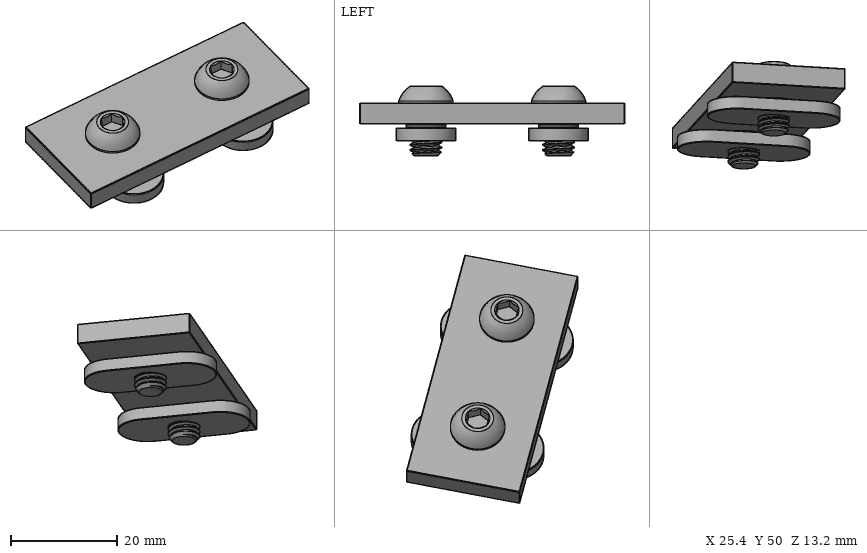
import cadquery as cq
import math

PLATE_WIDTH = 21.9
PLATE_LENGTH = 50
PLATE_THICKNESS = 4
EDGE_BREAK = 0.15

SCREW_SPACING = 25
SCREW_CENTRES = [(0, -SCREW_SPACING / 2), (0, SCREW_SPACING / 2)]

SHANK_DIAMETER = 6
SHANK_LENGTH = 10
HEAD_DIAMETER = 10.3
HEAD_TOP_DIAMETER = 6
HEAD_HEIGHT = 3.15
HEAD_RIM_HEIGHT = 0.4
SOCKET_FLATS = 4
SOCKET_DEPTH = 2.2
SOCKET_MOUTH_CHAMFER = 0.35
SOCKET_CORNERS = SOCKET_FLATS / math.cos(math.pi / 6)
TIP_CHAMFER = 0.8

PITCH = 1
THREAD_DEPTH = 5 / 8 * math.sqrt(3) / 2 * PITCH
GROOVE_ROOT_WIDTH = PITCH / 4
FLANK_SLOPE = math.tan(math.pi / 6)
GROOVE_OVERSHOOT = 0.05
GROOVE_START_BELOW_TIP = 0.65
THREADED_LENGTH = 6

NUT_LENGTH = 25.4
NUT_WIDTH = 11.25
NUT_THICKNESS = 2.5
NECK_DIAMETER = 7.5
NECK_HEIGHT = 0.7

TIP_Z = PLATE_THICKNESS - SHANK_LENGTH
HEAD_TOP_Z = PLATE_THICKNESS + HEAD_HEIGHT


def make_plate():
    """Chamfered bar with a close-fitting hole for each screw shank."""
    bar = cq.Workplane("XY").box(PLATE_WIDTH, PLATE_LENGTH, PLATE_THICKNESS, centered=(True, True, False))
    bar = bar.edges().chamfer(EDGE_BREAK)
    holes = cq.Workplane("XY").pushPoints(SCREW_CENTRES).circle(SHANK_DIAMETER / 2).extrude(PLATE_THICKNESS)
    return bar.cut(holes)


def make_screw_blank():
    """Turned head and shank; the dome is part of a sphere centred on the screw axis."""
    rim_radius = HEAD_DIAMETER / 2
    top_radius = HEAD_TOP_DIAMETER / 2
    shank_radius = SHANK_DIAMETER / 2
    rim_z = PLATE_THICKNESS + HEAD_RIM_HEIGHT
    dome_rise = HEAD_TOP_Z - rim_z
    centre_below_rim = (rim_radius**2 - top_radius**2 - dome_rise**2) / (2 * dome_rise)
    sphere_radius = math.hypot(rim_radius, centre_below_rim)
    middle_z = rim_z + dome_rise / 2
    middle_radius = math.sqrt(sphere_radius**2 - (centre_below_rim + dome_rise / 2) ** 2)
    profile = (
        cq.Workplane("YZ")
        .moveTo(0, TIP_Z)
        .lineTo(-shank_radius + TIP_CHAMFER, TIP_Z)
        .lineTo(-shank_radius, TIP_Z + TIP_CHAMFER)
        .lineTo(-shank_radius, PLATE_THICKNESS)
        .lineTo(-rim_radius, PLATE_THICKNESS)
        .lineTo(-rim_radius, rim_z)
        .threePointArc((-middle_radius, middle_z), (-top_radius, HEAD_TOP_Z))
        .lineTo(0, HEAD_TOP_Z)
        .close()
    )
    return profile.revolve(360, (0, 0), (0, 1))


def make_socket():
    """Hexagonal recess, corners toward +Y and -Y, with a conical mouth as wide as the corners."""
    hexagon = (
        cq.Workplane("XY", origin=(0, 0, HEAD_TOP_Z))
        .polygon(6, SOCKET_CORNERS)
        .extrude(-SOCKET_DEPTH)
        .rotate((0, 0, 0), (0, 0, 1), 30)
    )
    mouth = cq.Workplane(
        cq.Solid.makeCone(
            SOCKET_CORNERS / 2,
            SOCKET_CORNERS / 2 - SOCKET_MOUTH_CHAMFER,
            SOCKET_MOUTH_CHAMFER,
            pnt=cq.Vector(0, 0, HEAD_TOP_Z),
            dir=cq.Vector(0, 0, -1),
        )
    )
    return hexagon.union(mouth)


def make_thread_groove():
    """Helical groove that starts below the tip and winds up the shank."""
    start_z = TIP_Z - GROOVE_START_BELOW_TIP
    root_radius = SHANK_DIAMETER / 2 - THREAD_DEPTH
    outer_radius = SHANK_DIAMETER / 2 + GROOVE_OVERSHOOT
    root_half_width = GROOVE_ROOT_WIDTH / 2
    outer_half_width = root_half_width + (outer_radius - root_radius) * FLANK_SLOPE
    helix = cq.Wire.makeHelix(PITCH, THREADED_LENGTH, root_radius, center=cq.Vector(0, 0, start_z))
    profile = (
        cq.Workplane("XZ")
        .moveTo(root_radius, start_z - root_half_width)
        .lineTo(outer_radius, start_z - outer_half_width)
        .lineTo(outer_radius, start_z + outer_half_width)
        .lineTo(root_radius, start_z + root_half_width)
        .close()
    )
    return profile.sweep(cq.Workplane(helix), isFrenet=True)


def make_screw():
    return make_screw_blank().cut(make_socket()).cut(make_thread_groove())


def make_nut():
    """Round-ended bar below a neck that is chamfered at both ends, bored to the shank diameter."""
    bar = (
        cq.Workplane("XY", origin=(0, 0, -NECK_HEIGHT))
        .slot2D(NUT_LENGTH, NUT_WIDTH)
        .extrude(-NUT_THICKNESS)
        .edges("#Z")
        .chamfer(EDGE_BREAK)
    )
    neck = cq.Workplane("XY").circle(NECK_DIAMETER / 2).extrude(-NECK_HEIGHT)
    neck = neck.edges("%CIRCLE").chamfer(EDGE_BREAK)
    bore = cq.Workplane("XY").circle(SHANK_DIAMETER / 2).extrude(-NECK_HEIGHT - NUT_THICKNESS)
    return bar.union(neck).cut(bore)


plate = make_plate()
screw = make_screw()
nut = make_nut()

screws = []
nuts = []
for x, y in SCREW_CENTRES:
    screws.append(screw.translate((x, y, 0)).val())
    nuts.append(nut.translate((x, y, 0)).val())

result = cq.Compound.makeCompound([plate.val(), *screws, *nuts])